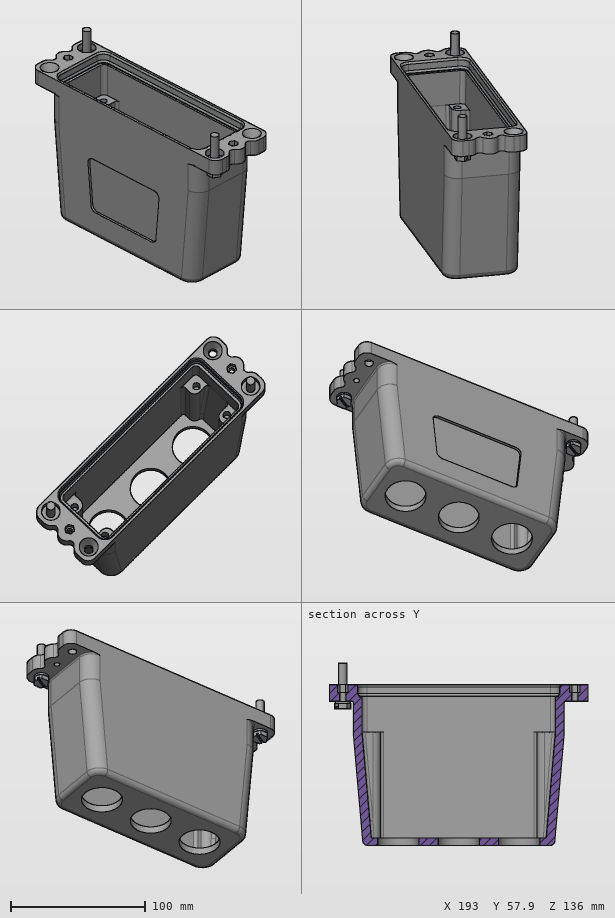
import cadquery as cq
import math


length = 193.0
width = 57.9
flange_thickness = 12.5
housing_depth = 120.0
wall_slope = math.radians(5)

flange_corner_radius = 7.1
corner_flat = 4.6
notch_radius = 3.5
notch_y = 8.5

body_length = 157.5
body_corner_radius = 11.0
slope_start_z = -36.7
bottom_fillet = 4.0
under_flange_fillet = 1.0

cavity_length = 144.0
cavity_width = 46.7
cavity_corner_radius = 3.7
cavity_side_draft = 0.5
floor_thickness = 5.8

mouth_length = 152.5
mouth_width = 53.8
mouth_corner_radius = 8.0
seat_inset = 1.0
seat_bevel_depth = 1.7
seat_wall_depth = 5.0
seat_step_depth = 0.5

post_hole_x = 65.0
post_hole_y = 15.8
post_inner_x = 58.3
post_inner_y = 11.0
post_corner_radius = 5.6
post_fillet = 2.3
post_top_z = -35.5
post_hole_diameter = 5.5
post_hole_depth = 11.5

entry_diameter = 30.5
entry_pitch = 45.0
label_top_length = 75.3
label_top_z = -52.5
label_bottom_z = -98.5
label_corner_radius = 5.0
label_depth = 2.0

ear_x = 86.5
ear_y = 19.7
bolt_diameter = 6.4
countersink_diameter = 14.0
countersink_depth = 7.1
nut_flats = 6.5
nut_pocket_depth = 5.8
nut_hole_diameter = 4.2

bolt_tip_z = 16.0
collar_diameter = 11.4
collar_height = 1.7
head_flats = 10.5
head_height = 3.9
slot_width = 1.5
slot_depth = 2.0
slot_angle = 30
ring_outer_diameter = 13.9
ring_top_depth = 4.5

overlap = 2.0
ring_section_radius = (ring_outer_diameter - bolt_diameter) / 4
ring_path_radius = (ring_outer_diameter + bolt_diameter) / 4
ring_seat_z = -ring_top_depth - 2 * ring_section_radius
floor_z = floor_thickness - housing_depth
bolt_places = [(-ear_x, ear_y), (ear_x, -ear_y)]
countersink_places = [(-ear_x, -ear_y), (ear_x, ear_y)]
nut_places = [(-ear_x, 0), (ear_x, 0)]


def slope_run(height):
    """Horizontal distance that a sloping end wall moves over a height."""
    return height * math.tan(wall_slope)


def rounded_prism(x_size, y_size, radius, z_bottom, z_top):
    """Upright block with rounded vertical edges."""
    return (
        cq.Workplane("XY", origin=(0, 0, z_bottom))
        .rect(x_size, y_size)
        .extrude(z_top - z_bottom)
        .edges("|Z")
        .fillet(radius)
    )


def rounded_loft(upper, z_top, lower, z_bottom):
    """Block between two rounded rectangles, each given as (x size, y size, corner radius)."""

    def section(size, z):
        x_size, y_size, radius = size
        return cq.Sketch().rect(x_size, y_size).vertices().fillet(radius).moved(cq.Location((0, 0, z)))

    return cq.Workplane("XY").placeSketch(section(upper, z_top), section(lower, z_bottom)).loft()


def hexagon_prism(flats, x, y, z_bottom, z_top):
    """Upright hexagonal prism with two corners along X."""
    across_corners = flats / math.cos(math.pi / 6)
    return (
        cq.Workplane("XY", origin=(x, y, z_bottom))
        .polygon(6, across_corners)
        .extrude(z_top - z_bottom)
    )


def cylinder(diameter, x, y, z_bottom, z_top):
    """Upright cylinder."""
    return cq.Workplane("XY", origin=(x, y, z_bottom)).circle(diameter / 2).extrude(z_top - z_bottom)


def scallop_cutter():
    """Cutter for the two notches and the rounded lobe between them on the +X end."""
    lobe_y = width / 2 - flange_corner_radius - corner_flat
    lobe_x = length / 2 - flange_corner_radius
    corner_reach = flange_corner_radius + notch_radius
    notch_x = lobe_x + math.sqrt(corner_reach**2 - (lobe_y - notch_y) ** 2)
    tip_gap = length / 2 - notch_x
    middle_radius = (tip_gap**2 + notch_y**2 - notch_radius**2) / (2 * (notch_radius + tip_gap))
    middle_x = length / 2 - middle_radius

    corner_share = flange_corner_radius / corner_reach
    corner_join = (
        lobe_x + (notch_x - lobe_x) * corner_share,
        lobe_y + (notch_y - lobe_y) * corner_share,
    )
    middle_share = middle_radius / (middle_radius + notch_radius)
    middle_join = (middle_x + (notch_x - middle_x) * middle_share, notch_y * middle_share)
    notch_bottom = (notch_x - notch_radius, notch_y)
    corner_angle = math.atan2(corner_join[1] - lobe_y, corner_join[0] - lobe_x) / 2
    corner_middle = (
        lobe_x + flange_corner_radius * math.cos(corner_angle),
        lobe_y + flange_corner_radius * math.sin(corner_angle),
    )
    outline = (
        cq.Workplane("XY", origin=(0, 0, -housing_depth))
        .moveTo(length / 2, lobe_y)
        .threePointArc(corner_middle, corner_join)
        .threePointArc(notch_bottom, middle_join)
        .threePointArc((length / 2, 0), (middle_join[0], -middle_join[1]))
        .threePointArc((notch_bottom[0], -notch_bottom[1]), (corner_join[0], -corner_join[1]))
        .threePointArc((corner_middle[0], -corner_middle[1]), (length / 2, -lobe_y))
        .lineTo(length / 2 + overlap, -lobe_y)
        .lineTo(length / 2 + overlap, lobe_y)
        .close()
    )
    return outline.extrude(housing_depth)


def flange_column():
    """Flange outline extended down the full depth of the housing."""
    column = rounded_prism(length, width, flange_corner_radius, -housing_depth, 0)
    cutter = scallop_cutter()
    return column.cut(cutter).cut(cutter.mirror("YZ"))


def make_outer_body():
    """Body below the flange: upright near the flange, then with sloping ends and a rounded bottom."""
    bottom_length = body_length - 2 * slope_run(slope_start_z + housing_depth)
    upright = rounded_prism(body_length, width, body_corner_radius, slope_start_z, -flange_thickness)
    sloping = rounded_loft(
        (body_length, width, body_corner_radius),
        slope_start_z,
        (bottom_length, width, body_corner_radius),
        -housing_depth,
    )
    sloping = sloping.faces("<Z").edges().fillet(bottom_fillet)
    return upright.union(sloping)


def tapered_block(top_half_x, top_half_y, top_z, bottom_half_x, bottom_half_y, bottom_z):
    """Rectangular block whose walls slope evenly from top to bottom."""
    lengthwise = (
        cq.Workplane("XZ")
        .polyline(
            [(-top_half_x, top_z), (top_half_x, top_z), (bottom_half_x, bottom_z), (-bottom_half_x, bottom_z)]
        )
        .close()
        .extrude(width / 2, both=True)
    )
    crosswise = (
        cq.Workplane("YZ")
        .polyline(
            [(-top_half_y, top_z), (top_half_y, top_z), (bottom_half_y, bottom_z), (-bottom_half_y, bottom_z)]
        )
        .close()
        .extrude(length / 2, both=True)
    )
    return lengthwise.intersect(crosswise)


def cavity_half_width(z):
    """Distance of the drafted side walls from the middle plane."""
    return cavity_width / 2 + cavity_side_draft * z / -floor_z


def make_upper_cavity():
    """Cavity above the posts, with upright end walls."""
    half_length = cavity_length / 2
    block = tapered_block(
        half_length, cavity_half_width(0), 0, half_length, cavity_half_width(post_top_z), post_top_z
    )
    return block.edges("not(#Z)").fillet(cavity_corner_radius)


def make_lower_cavity():
    """Cavity beside the posts, with sloping end walls and the posts blended into all walls."""
    built_top_z = post_top_z + overlap
    middle_z = (built_top_z + floor_z) / 2
    lower = tapered_block(
        cavity_length / 2 + slope_run(overlap),
        cavity_half_width(built_top_z),
        built_top_z,
        cavity_length / 2 - slope_run(post_top_z - floor_z),
        cavity_half_width(floor_z),
        floor_z,
    )
    x_size = body_length / 2 - post_inner_x
    y_size = width / 2 - post_inner_y
    for x_side in (-1, 1):
        for y_side in (-1, 1):
            post = (
                cq.Workplane("XY", origin=(0, 0, floor_z))
                .center(x_side * (post_inner_x + x_size / 2), y_side * (post_inner_y + y_size / 2))
                .rect(x_size, y_size)
                .extrude(built_top_z - floor_z)
            )
            inner_edge = cq.selectors.NearestToPointSelector(
                (x_side * post_inner_x, y_side * post_inner_y, middle_z)
            )
            lower = lower.cut(post.edges("|Z").edges(inner_edge).fillet(post_corner_radius))
    side_wall_root = (post_inner_x, cavity_half_width(middle_z))
    end_wall_root = (cavity_length / 2 - slope_run(post_top_z - middle_z), post_inner_y)
    for x, y in (side_wall_root, end_wall_root):
        for x_side in (-1, 1):
            for y_side in (-1, 1):
                root = cq.selectors.NearestToPointSelector((x_side * x, y_side * y, middle_z))
                lower = lower.edges(root).fillet(post_fillet)
    trim = cq.Workplane("XY", origin=(0, 0, post_top_z)).rect(length, width).extrude(2 * overlap)
    return lower.cut(trim)


def make_shell():
    """Flange and body without openings."""
    slab = (
        cq.Workplane("XY", origin=(0, 0, -flange_thickness))
        .rect(length + 2 * overlap, width + 2 * overlap)
        .extrude(flange_thickness)
    )
    under_flange = cq.selectors.BoxSelector(
        (-body_length / 2 - overlap / 2, -width / 2 - overlap / 2, -flange_thickness - overlap / 2),
        (body_length / 2 + overlap / 2, width / 2 + overlap / 2, -flange_thickness + overlap / 2),
        boundingbox=True,
    )
    shell = slab.union(make_outer_body())
    shell = shell.edges(under_flange).fillet(under_flange_fillet)
    return shell.intersect(flange_column())


def make_seal_seat():
    """Mouth of the cavity: a bevel, an upright wall, a second bevel and a flat ledge."""
    sizes = [
        (mouth_length - 2 * inset, mouth_width - 2 * inset, mouth_corner_radius - inset)
        for inset in (0, seat_inset, 2 * seat_inset)
    ]
    wall_top = -seat_bevel_depth
    wall_bottom = wall_top - seat_wall_depth

    def bevel(upper, lower, z_top):
        return rounded_loft(upper, z_top, lower, z_top - seat_bevel_depth)

    wall = rounded_prism(*sizes[1], wall_bottom, wall_top)
    step_top = wall_bottom - seat_bevel_depth
    step = rounded_prism(*sizes[2], step_top - seat_step_depth, step_top)
    return bevel(sizes[0], sizes[1], 0).union(wall).union(bevel(sizes[1], sizes[2], wall_bottom)).union(step)


def label_cutter():
    """Rounded trapezoid recess on the -Y face."""
    top_half = label_top_length / 2
    bottom_half = top_half - slope_run(label_top_z - label_bottom_z)
    return (
        cq.Workplane("XZ", origin=(0, -width / 2, 0))
        .polyline(
            [
                (-top_half, label_top_z),
                (top_half, label_top_z),
                (bottom_half, label_bottom_z),
                (-bottom_half, label_bottom_z),
            ]
        )
        .close()
        .extrude(-label_depth)
        .edges("|Y")
        .fillet(label_corner_radius)
    )


def countersunk_hole(x, y):
    """Through hole with a conical mouth."""
    cone = cq.Solid.makeCone(
        bolt_diameter / 2, countersink_diameter / 2, countersink_depth, cq.Vector(x, y, -countersink_depth)
    )
    return cylinder(bolt_diameter, x, y, -flange_thickness, 0).union(cq.Workplane(cone))


def bolt_hole(x, y):
    """Clearance bore with a counterbore that seats a ring."""
    bore = cylinder(bolt_diameter, x, y, -flange_thickness, 0)
    return bore.union(cylinder(ring_outer_diameter, x, y, ring_seat_z, 0))


def nut_hole(x, y):
    """Small through hole with a hexagonal pocket on top."""
    bore = cylinder(nut_hole_diameter, x, y, -flange_thickness, 0)
    return bore.union(hexagon_prism(nut_flats, x, y, -nut_pocket_depth, 0))


def make_housing():
    """Open box with its flange and every hole."""
    housing = make_shell().cut(make_upper_cavity()).cut(make_lower_cavity())
    housing = housing.cut(make_seal_seat()).cut(label_cutter())
    for place in countersink_places:
        housing = housing.cut(countersunk_hole(*place))
    for place in bolt_places:
        housing = housing.cut(bolt_hole(*place))
    for place in nut_places:
        housing = housing.cut(nut_hole(*place))
    for step in (-1, 0, 1):
        housing = housing.cut(cylinder(entry_diameter, step * entry_pitch, 0, -housing_depth, floor_z))
    for x in (-post_hole_x, post_hole_x):
        for y in (-post_hole_y, post_hole_y):
            housing = housing.cut(
                cylinder(post_hole_diameter, x, y, post_top_z - post_hole_depth, post_top_z)
            )
    return housing


def make_bolt(x, y):
    """Bolt with a round collar and a slotted hexagonal head below the flange."""
    collar_bottom = -flange_thickness - collar_height
    shank = cylinder(bolt_diameter, x, y, -flange_thickness, bolt_tip_z)
    collar = cylinder(collar_diameter, x, y, collar_bottom, -flange_thickness)
    head = hexagon_prism(head_flats, x, y, collar_bottom - head_height, collar_bottom)
    slot = (
        cq.Workplane("XY", origin=(x, y, collar_bottom - head_height))
        .transformed(rotate=(0, 0, slot_angle))
        .rect(2 * head_flats, slot_width)
        .extrude(slot_depth)
    )
    return shank.union(collar).union(head).cut(slot)


def make_ring(x, y):
    """Round-section ring that fills the gap between a bolt and its counterbore."""
    center = cq.Vector(x, y, ring_seat_z + ring_section_radius)
    return cq.Solid.makeTorus(ring_path_radius, ring_section_radius, center, cq.Vector(0, 0, 1))


housing = make_housing()
bolts = [make_bolt(*place).val() for place in bolt_places]
rings = [make_ring(*place) for place in bolt_places]
result = cq.Compound.makeCompound([housing.val(), *bolts, *rings])